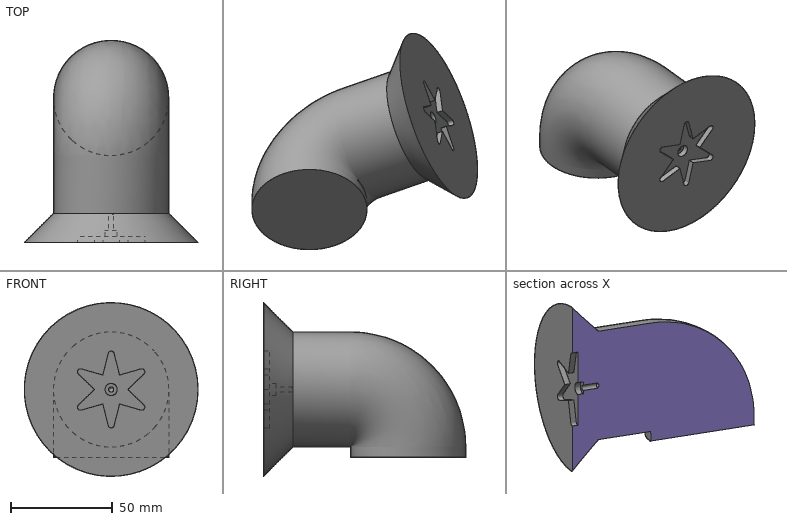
import cadquery as cq
import math

pipe_diameter = 57.0
pipe_radius = pipe_diameter / 2
flange_diameter = 86.0
flare_length = (flange_diameter - pipe_diameter) / 2
straight_length = pipe_radius
collar_height = 5.0
bend_radius = pipe_radius

face_y = 0.0
straight_start_y = face_y + flare_length
bend_start_y = straight_start_y + straight_length
collar_axis_y = bend_start_y + bend_radius

star_point_count = 6
star_tip_radius = 23.7
star_valley_radius = 8.25
star_tip_rounding = 1.5
star_depth = 3.0

screw_bore_diameter = 6.0
screw_bore_depth = 3.0
pilot_diameter = 2.53
pilot_depth = 8.0
drill_point_angle = 118.0


def cross_plane(y, x_dir):
    """Plane across the pipe axis at the given Y; its normal points into the part (+Y)."""
    return cq.Plane(origin=(0, y, 0), xDir=x_dir, normal=(0, 1, 0))


def polar_point(radius, angle):
    return (radius * math.cos(angle), radius * math.sin(angle))


def make_flared_pipe():
    """Straight pipe that flares out to the flange face."""
    profile = (
        cq.Workplane("XY")
        .moveTo(0, face_y)
        .lineTo(flange_diameter / 2, face_y)
        .lineTo(pipe_radius, straight_start_y)
        .lineTo(pipe_radius, bend_start_y)
        .lineTo(0, bend_start_y)
        .close()
    )
    return profile.revolve(360, (0, 0, 0), (0, 1, 0))


def make_elbow():
    """Quarter bend from the pipe axis down to the vertical collar axis."""
    section = cq.Workplane(cross_plane(bend_start_y, (0, 0, -1))).circle(pipe_radius)
    return section.revolve(90, (bend_radius, 0, 0), (bend_radius, 1, 0))


def make_collar():
    """Short vertical spigot below the bend."""
    return (
        cq.Workplane("XY", origin=(0, collar_axis_y, -bend_radius))
        .circle(pipe_radius)
        .extrude(-collar_height)
    )


def make_star_cutter():
    """Star-shaped pocket with rounded tips, one tip pointing up."""
    half_pitch = math.pi / star_point_count
    corners = []
    for i in range(star_point_count):
        tip_angle = math.pi / 2 + 2 * i * half_pitch
        valley_angle = tip_angle + half_pitch
        corners.append(polar_point(star_tip_radius, tip_angle))
        corners.append(polar_point(star_valley_radius, valley_angle))
    star = cq.Workplane(cross_plane(face_y, (1, 0, 0))).polyline(corners).close().extrude(star_depth)
    tip_limit = (star_tip_radius + star_valley_radius) / 2

    def is_tip(edge):
        center = edge.Center()
        return math.hypot(center.x, center.z) > tip_limit

    tip_edges = [edge for edge in star.edges("|Y").vals() if is_tip(edge)]
    return star.newObject(tip_edges).fillet(star_tip_rounding)


def make_screw_hole_cutter():
    """Bore below the star floor, then a narrower pilot hole with a conical end."""
    bore_end = face_y + star_depth + screw_bore_depth
    pilot_end = bore_end + pilot_depth
    bore_radius = screw_bore_diameter / 2
    pilot_radius = pilot_diameter / 2
    point_length = pilot_radius / math.tan(math.radians(drill_point_angle / 2))
    profile = (
        cq.Workplane("XY")
        .moveTo(0, face_y)
        .lineTo(bore_radius, face_y)
        .lineTo(bore_radius, bore_end)
        .lineTo(pilot_radius, bore_end)
        .lineTo(pilot_radius, pilot_end)
        .lineTo(0, pilot_end + point_length)
        .close()
    )
    return profile.revolve(360, (0, 0, 0), (0, 1, 0))


body = make_flared_pipe().union(make_elbow()).union(make_collar())
result = body.cut(make_star_cutter()).cut(make_screw_hole_cutter())